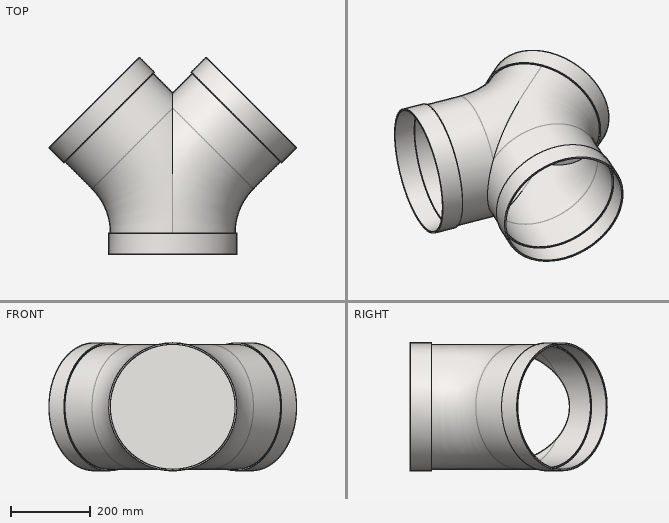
import cadquery as cq
import math

pipe_diameter = 315.0
wall = 4.05
collar_length = 54.0
shoulder = 2.0
bend_radius = 315.0
bend_angle = 45
branch_length = 150.0
blank_thickness = 4.05

pipe_radius = pipe_diameter / 2
bore_radius = pipe_radius - wall
collar_radius = pipe_radius + wall
socket_depth = collar_length - shoulder
trim_size = 1875

angle = math.radians(bend_angle)
branch_start = cq.Vector(
    -bend_radius * (1 - math.cos(angle)),
    collar_length + bend_radius * math.sin(angle),
    0,
)
branch_direction = cq.Vector(-math.sin(angle), math.cos(angle), 0)


def cylinder(radius, length, start, direction):
    return cq.Workplane(cq.Solid.makeCylinder(radius, length, start, direction))


def branch_cylinder(radius, start_distance, length):
    """Cylinder on the branch axis, starting a given distance past the elbow."""
    start = branch_start + branch_direction * start_distance
    return cylinder(radius, length, start, branch_direction)


def half_passage(radius):
    """Elbow and straight branch, trimmed at the middle plane X = 0."""
    elbow = (
        cq.Workplane("XZ", origin=(0, collar_length, 0))
        .circle(radius)
        .revolve(bend_angle, (-bend_radius, -6, 0), (-bend_radius, 6, 0))
    )
    passage = elbow.union(branch_cylinder(radius, 0, branch_length - socket_depth))
    negative_x = cq.Workplane(origin=(-trim_size / 2, 0, 0)).box(trim_size, trim_size, trim_size)
    return passage.intersect(negative_x)


def both_sides(half):
    return half.union(half.mirror("YZ"))


origin = cq.Vector(0, 0, 0)
inlet_direction = cq.Vector(0, 1, 0)

branch_collar = branch_cylinder(collar_radius, branch_length - collar_length, collar_length)
inlet_collar = cylinder(collar_radius, collar_length, origin, inlet_direction)
body = both_sides(half_passage(pipe_radius)).union(both_sides(branch_collar)).union(inlet_collar)

body = body.cut(both_sides(half_passage(bore_radius)))

branch_socket = branch_cylinder(pipe_radius, branch_length - socket_depth, socket_depth)
inlet_socket = cylinder(pipe_radius, socket_depth, origin, inlet_direction)
body = body.cut(both_sides(branch_socket)).cut(inlet_socket)

blank = cylinder(pipe_radius, blank_thickness, cq.Vector(0, socket_depth, 0), inlet_direction)
result = body.union(blank)